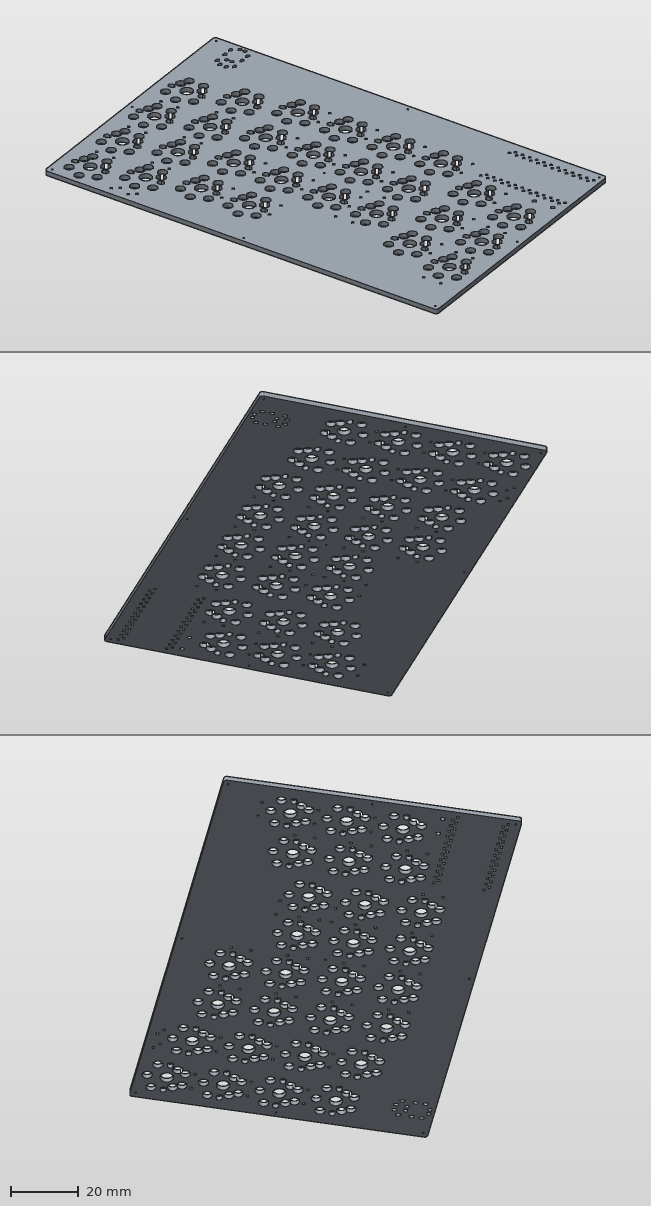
import cadquery as cq


BOARD_LENGTH = 140.0
BOARD_WIDTH = 90.0
BOARD_THICKNESS = 1.6
CORNER_RADIUS = 1.0

KEY_PITCH = 17.0
COLUMN_STAGGER = 4.2
THUMB_GAP = 0.52
FIRST_COLUMN_X = -59.95
TOP_KEY_Y = 23.7
COLUMNS = [(4, 2), (4, 1), (4, 0), (4, 0), (3, 0), (3, 0), (3, 2), (3, 3)]
RIGHT_GROUP_START = 6

STEM_DIAMETER = 4.0
SOCKET_DIAMETER = 3.0
SOCKET_GRID = 1.27
UPPER_SOCKET = (2 * SOCKET_GRID, 4 * SOCKET_GRID)
MIDDLE_SOCKET = (3 * SOCKET_GRID, 2 * SOCKET_GRID)
LOWER_SOCKET = (5.0, -3.73)
BOTTOM_SOCKET_Y = -5.9
INNER_POST_X = 4 * SOCKET_GRID
INNER_POST_DIAMETER = 1.7
OUTER_POST_X = 5.5
OUTER_POST_DIAMETER = 1.9

LEAD_DIAMETER = 0.8
LEAD_SPACING = 6.05
SIDE_DIODE_OFFSET = (8.0, 2.0)
LOWER_DIODE_OFFSET = (0.0, -9.1)
SIDE_DIODE_KEYS = (
    [(column, row) for column in (2, 3) for row in range(4)]
    + [(4, row) for row in range(3)]
    + [(5, 0)]
    + [(6, row) for row in range(3)]
)
LOWER_DIODE_KEYS = (
    [(0, row) for row in range(3)]
    + [(1, row) for row in range(4)]
    + [(7, row) for row in range(3)]
)
LOOSE_DIODES = [(-45.0, -42.2), (18.9, -1.5), (18.9, -18.3)]

PIN_DIAMETER = 0.81
PIN_PITCH = 2.54
PINS_PER_ROW = 12
HEADER_ROW_SPACING = 6 * PIN_PITCH
FIRST_PIN = (38.62, 24.7)
FOOTPRINT_SHIFT = PIN_PITCH / 2

JACK_X = -58.95
PEG_DIAMETER = 1.2
PEG_OFFSET = 0.9
PEG_ROWS_Y = [43.4, 36.4]
TERMINAL_LENGTH = 1.5
TERMINAL_WIDTH = 1.0
TERMINALS = [(3.05, 41.6), (3.05, 38.6), (3.05, 34.6), (1.15, 33.1)]

RESET_CENTRE = (63.05, 21.7)
RESET_SPACING = 6.5
RESET_DIAMETER = 1.3

TOOLING_DIAMETER = 0.5
TOOLING_X = 68.3
TOOLING_Y = 43.4
TOOLING_POINTS = [(x, y) for x in (-TOOLING_X, 0.0, TOOLING_X) for y in (-TOOLING_Y, TOOLING_Y)]
TOOLING_POINTS += [(-TOOLING_X, -1.0), (-0.5, 0.0), (TOOLING_X, 0.0)]


def key_centre(column, row):
    """Centre of the key in the given column, counting rows from the top."""
    gap = THUMB_GAP if column >= RIGHT_GROUP_START else 0.0
    stagger_steps = COLUMNS[column][1]
    x = FIRST_COLUMN_X + column * KEY_PITCH + gap
    y = TOP_KEY_Y - stagger_steps * COLUMN_STAGGER - row * KEY_PITCH
    return x, y


def shifted(points, origin):
    """The points moved by the vector origin."""
    return [(origin[0] + x, origin[1] + y) for x, y in points]


def mirrored(x, y):
    """The point and its mirror image about the line X = 0."""
    return [(-x, y), (x, y)]


def drills(points, diameter):
    """One cylinder per point, through the full thickness."""
    return cq.Workplane("XY").pushPoints(points).circle(diameter / 2).extrude(BOARD_THICKNESS).vals()


def key_switch_cutter():
    """All holes of one key switch, joined because some of them overlap."""
    sockets = mirrored(*UPPER_SOCKET) + mirrored(*MIDDLE_SOCKET) + mirrored(*LOWER_SOCKET)
    sockets.append((0.0, BOTTOM_SOCKET_Y))
    hole_groups = [
        ([(0.0, 0.0)], STEM_DIAMETER),
        (sockets, SOCKET_DIAMETER),
        (mirrored(INNER_POST_X, 0.0), INNER_POST_DIAMETER),
        (mirrored(OUTER_POST_X, 0.0), OUTER_POST_DIAMETER),
    ]
    cutter = cq.Workplane("XY")
    for points, diameter in hole_groups:
        holes = cq.Workplane("XY").pushPoints(points).circle(diameter / 2).extrude(BOARD_THICKNESS)
        cutter = cutter.union(holes)
    return cutter.val()


def key_switch_cutters():
    """The key switch cutter copied to every key."""
    cutter = key_switch_cutter()
    centres = [
        key_centre(column, row) for column, (key_count, _) in enumerate(COLUMNS) for row in range(key_count)
    ]
    return [cutter.translate(cq.Vector(x, y, 0)) for x, y in centres]


def diode_drills():
    """Lead holes: upright pairs beside the keys, level pairs below the keys and apart."""
    upright = [(0.0, -LEAD_SPACING / 2), (0.0, LEAD_SPACING / 2)]
    level = mirrored(LEAD_SPACING / 2, 0.0)
    points = []
    for key in SIDE_DIODE_KEYS:
        points += shifted(shifted(upright, SIDE_DIODE_OFFSET), key_centre(*key))
    for key in LOWER_DIODE_KEYS:
        points += shifted(shifted(level, LOWER_DIODE_OFFSET), key_centre(*key))
    for centre in LOOSE_DIODES:
        points += shifted(level, centre)
    return drills(points, LEAD_DIAMETER)


def controller_drills():
    """Two pairs of header rows, the second shifted half a pin along X and Y."""
    points = []
    for shift in (0.0, FOOTPRINT_SHIFT):
        for row_y in (0.0, HEADER_ROW_SPACING):
            row = [(shift + pin * PIN_PITCH, shift + row_y) for pin in range(PINS_PER_ROW)]
            points += shifted(row, FIRST_PIN)
    return drills(points, PIN_DIAMETER)


def jack_cutters():
    """Round holes for the locating pegs and upright slots for the terminals."""
    pegs = []
    for y in PEG_ROWS_Y:
        pegs += shifted(mirrored(PEG_OFFSET, y), (JACK_X, 0.0))
    terminals = []
    for offset, y in TERMINALS:
        terminals += shifted(mirrored(offset, y), (JACK_X, 0.0))
    slots = cq.Workplane("XY").pushPoints(terminals).slot2D(TERMINAL_LENGTH, TERMINAL_WIDTH, 90)
    return drills(pegs, PEG_DIAMETER) + slots.extrude(BOARD_THICKNESS).vals()


def reset_drills():
    """The two lead holes of the reset button."""
    return drills(shifted(mirrored(RESET_SPACING / 2, 0.0), RESET_CENTRE), RESET_DIAMETER)


def board():
    """The plain plate with rounded corners."""
    plate = cq.Workplane("XY").rect(BOARD_LENGTH, BOARD_WIDTH).extrude(BOARD_THICKNESS)
    return plate.edges("|Z").fillet(CORNER_RADIUS)


cutters = key_switch_cutters() + diode_drills() + controller_drills() + jack_cutters() + reset_drills()
cutters += drills(TOOLING_POINTS, TOOLING_DIAMETER)

result = cq.Workplane("XY").newObject([board().val().cut(*cutters)])